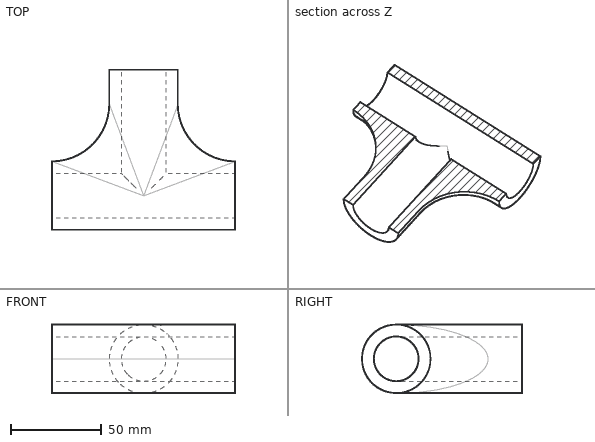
import cadquery as cq
import math

outer_diameter = 38.1
bore_diameter = 24.69
run_length = 101.6
branch_reach = 69.85

outer_radius = outer_diameter / 2
half_run = run_length / 2

blend_radius = half_run - outer_radius

arc_steps = 40
height_steps = 60
fit_tolerance = 1e-5
sewing_tolerance = 1e-4


def run_rod(diameter):
    """Solid rod along the run, its skin in an upper and a lower half."""
    radius = diameter / 2
    profile = (
        cq.Workplane("YZ", origin=(-half_run, 0, 0))
        .moveTo(-radius, 0)
        .threePointArc((0, radius), (radius, 0))
        .threePointArc((0, -radius), (-radius, 0))
        .close()
    )
    return profile.extrude(run_length, clean=False)


def branch_rod(diameter):
    """Solid rod from the run axis to the open end of the branch."""
    return cq.Workplane("XZ").circle(diameter / 2).extrude(-branch_reach)


def sector(half_width, reach):
    """Upright prism, triangular in plan, opening from the Z axis toward +Y."""
    outline = [(0, 0), (half_width, reach), (-half_width, reach)]
    return cq.Workplane("XY").polyline(outline).close().extrude(outer_diameter, both=True)


def blend_point(arc_fraction, height_fraction):
    """Point of the +X blend surface, with both fractions running from 0 to 1.

    Each horizontal section is the mid-height arc scaled about the Z axis in
    proportion to the pipe width at that height, so it stays tangent to both pipes.
    """
    arc_angle = arc_fraction * math.pi / 2
    height_angle = (height_fraction - 0.5) * math.pi
    width_ratio = math.cos(height_angle)
    return cq.Vector(
        width_ratio * (half_run - blend_radius * math.sin(arc_angle)),
        width_ratio * (half_run - blend_radius * math.cos(arc_angle)),
        outer_radius * math.sin(height_angle),
    )


def blend_face():
    """Blend surface in the +X crotch, closing to a point at the top and bottom."""
    points = [
        [blend_point(i / arc_steps, j / height_steps) for j in range(height_steps + 1)]
        for i in range(arc_steps + 1)
    ]
    return cq.Face.makeSplineApprox(points, tol=fit_tolerance)


def outer_body():
    """Solid tee, sewn from the trimmed pipe skins, their ends and the two blends."""
    run = run_rod(outer_diameter).cut(sector(2 * half_run, 2 * outer_radius), clean=False)
    branch = branch_rod(outer_diameter).intersect(sector(2 * outer_radius, 2 * half_run))
    blend = blend_face()

    faces = run.faces("%CYLINDER").vals() + run.faces("<X or >X").vals()
    faces += branch.faces("%CYLINDER").vals() + branch.faces(">Y").vals()
    faces += [blend, blend.mirror("YZ")]
    skin = cq.occ_impl.shapes.shell(*faces, tol=sewing_tolerance)
    return cq.Workplane(obj=cq.Solid.makeSolid(skin))


bores = run_rod(bore_diameter).union(branch_rod(bore_diameter))
result = outer_body().cut(bores, clean=False).solids()